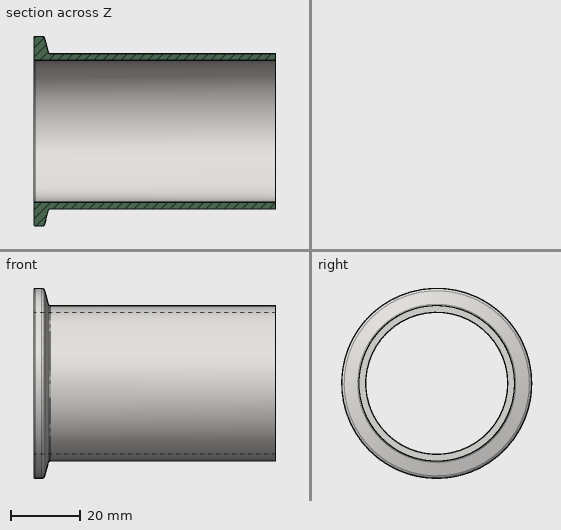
import cadquery as cq
import math

length = 70.0
flange_radius = 55.0 / 2
tube_radius = 45.0 / 2
bore_radius = 20.5

rim_width = 3.0
face_round = 0.5
back_rim_round = 1.0
taper_angle = 15.0
neck_fillet = 0.5

taper_width = (flange_radius - tube_radius) * math.tan(math.radians(taper_angle))
front_x = -length / 2
rim_back_x = front_x + rim_width
taper_end_x = rim_back_x + taper_width
back_x = front_x + length


def round_ring(solid, x, radius, round_radius):
    """Round the circular edge that lies at the given place on the axis with the given radius."""
    margin = 0.035
    reach = radius + margin
    ring = cq.selectors.BoxSelector(
        (x - margin, -reach, -reach),
        (x + margin, reach, reach),
        boundingbox=True,
    )
    return solid.edges(ring).fillet(round_radius)


body = (
    cq.Workplane("XY")
    .moveTo(front_x, bore_radius)
    .lineTo(front_x, flange_radius)
    .lineTo(rim_back_x, flange_radius)
    .lineTo(taper_end_x, tube_radius)
    .lineTo(back_x, tube_radius)
    .lineTo(back_x, bore_radius)
    .close()
    .revolve(360, (0, 0, 0), (1, 0, 0))
)

body = round_ring(body, front_x, bore_radius, face_round)
body = round_ring(body, front_x, flange_radius, face_round)
body = round_ring(body, rim_back_x, flange_radius, back_rim_round)
body = round_ring(body, taper_end_x, tube_radius, neck_fillet)

result = body